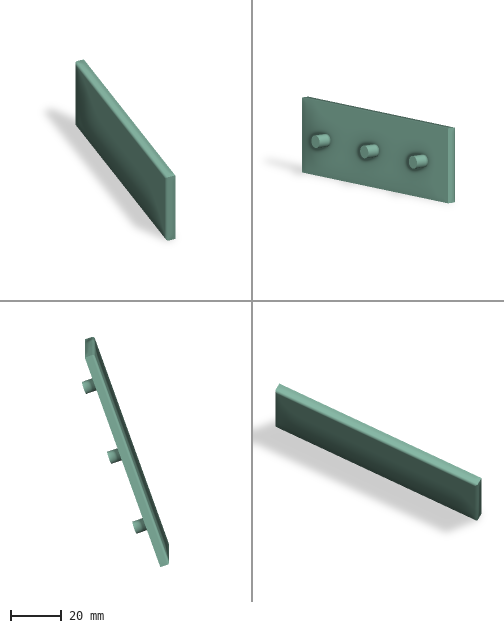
import cadquery as cq

plate_length = 90.0
plate_height = 30.0
plate_thickness = 4.0
total_depth = 9.5
edge_radius = 1.0
peg_diameter = 5.0
peg_count = 3
peg_spacing = plate_length / peg_count

peg_length = total_depth - plate_thickness


def make_plate():
    """Plate with its front face at Y = 0 and the front edges rounded."""
    plate = cq.Workplane("XY").box(
        plate_length, plate_thickness, plate_height, centered=(True, False, True)
    )
    return plate.faces("<Y").edges().fillet(edge_radius)


def add_pegs(plate):
    """Row of round mounting pegs along the middle of the back face."""
    return (
        plate.faces(">Y")
        .workplane(centerOption="CenterOfBoundBox")
        .rarray(peg_spacing, 0.9, peg_count, 1)
        .circle(peg_diameter / 2)
        .extrude(peg_length)
    )


result = add_pegs(make_plate())